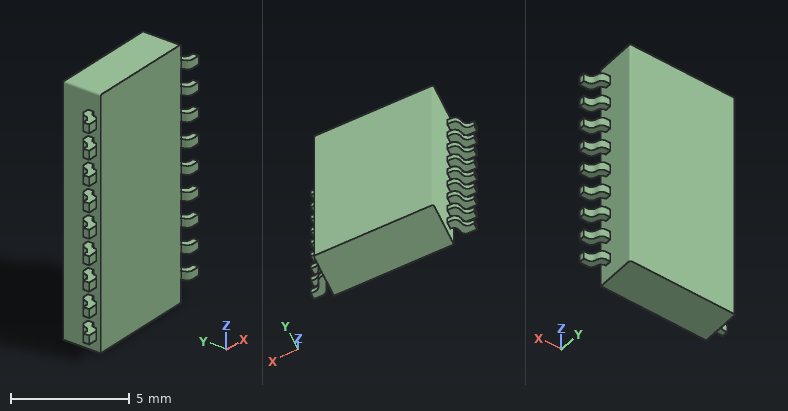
import cadquery as cq
import math

overall_width = 7.62
overall_depth = 2.2
body_width = 5.6
body_height = 12.45
standoff = 0.16
edge_radius = 0.1

leads_per_side = 9
lead_pitch = 1.27
lead_width = 0.44

lead_thickness = 0.31
lead_height = 0.83
bend_radius = 0.3
bend_angle = math.radians(72)

body_half_width = body_width / 2
lead_tip_x = -overall_width / 2
bend_rise = lead_height - lead_thickness
arc_rise = bend_radius * (1 - math.cos(bend_angle))
arc_run = bend_radius * math.sin(bend_angle)
straight_rise = bend_rise - 2 * arc_rise
straight_run = straight_rise / math.tan(bend_angle)
bend_run = 2 * arc_run + straight_run

foot_lower_length = -body_half_width - lead_tip_x - bend_run
foot_upper_length = foot_lower_length - lead_thickness * math.tan(bend_angle / 2)


def make_body():
    """Block rounded around its back face and top face; front and bottom edges stay sharp."""
    body = cq.Workplane("XY").box(
        body_width, overall_depth - standoff, body_height, centered=(True, False, True)
    ).translate((0, standoff, 0))
    return body.edges("(>Y or >Z) exc (<Y or <Z)").fillet(edge_radius)


def bend_points(start_x, start_y):
    """Points of one S-bend side: start, then mid and end of each arc, from foot to arm."""
    half_run = bend_radius * math.sin(bend_angle / 2)
    half_rise = bend_radius * (1 - math.cos(bend_angle / 2))
    end_x = start_x + bend_run
    end_y = start_y + bend_rise
    return [
        (start_x, start_y),
        (start_x + half_run, start_y + half_rise),
        (start_x + arc_run, start_y + arc_rise),
        (end_x - arc_run, end_y - arc_rise),
        (end_x - half_run, end_y - half_rise),
        (end_x, end_y),
    ]


def make_lead():
    """Gull-wing lead on the -X side, centred on Z = 0."""
    lower = bend_points(lead_tip_x + foot_lower_length, 0)
    upper = bend_points(lead_tip_x + foot_upper_length, lead_thickness)
    upper.reverse()
    profile = cq.Workplane("XY").moveTo(lead_tip_x, 0).lineTo(*lower[0])
    profile = profile.threePointArc(lower[1], lower[2]).lineTo(*lower[3])
    profile = profile.threePointArc(lower[4], lower[5])
    profile = profile.lineTo(-body_half_width, lead_height).lineTo(*upper[0])
    profile = profile.threePointArc(upper[1], upper[2]).lineTo(*upper[3])
    profile = profile.threePointArc(upper[4], upper[5]).lineTo(lead_tip_x, lead_thickness)
    return profile.close().extrude(lead_width / 2, both=True)


result = make_body()
left_lead = make_lead()
right_lead = left_lead.mirror("YZ")
for index in range(leads_per_side):
    lead_z = (index - (leads_per_side - 1) / 2) * lead_pitch
    for lead in (left_lead, right_lead):
        result = result.union(lead.translate((0, 0, lead_z)))